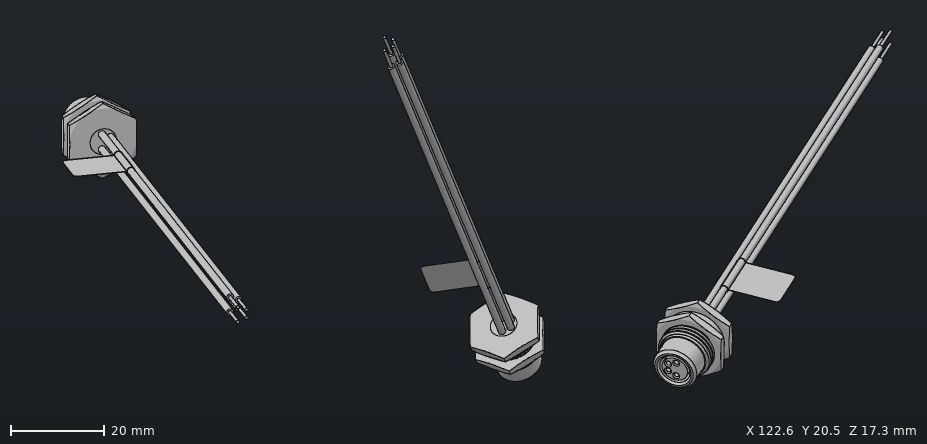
import cadquery as cq
import math

snout_end = 5.1
thread_end = 11.4
flange_start = 13.0
hex_thickness = 2.0
flange_end = flange_start + hex_thickness
nut_start = 8.2
strip_length = 6.1
total_length = 122.6

snout_diameter = 10.0
snout_chamfer = 0.6
socket_mouth_diameter = 8.0
socket_diameter = 7.0
socket_depth = 4.9
thread_diameter = 12.0
thread_pitch = 1.0
thread_depth = 0.5
thread_groove_width = 0.9
thread_cutter_overrun = 0.1
thread_lead_in = 0.7
hex_across_flats = 15.0
hex_chamfer_length = 0.4

ring_section = 1.5
neck_diameter = 10.3

insert_diameter = 5.9
insert_recess = 0.5
contact_hole_diameter = 1.0
contact_mouth_diameter = 1.6
contact_hole_depth = 3.7
lead_places = [(-0.31, 1.7), (1.6, 0.92), (1.6, -0.92), (-0.31, -1.7)]
lead_diameter = 1.6
conductor_diameter = 0.76

label_start = 27.8
label_width = 10.0
label_thickness = 0.1
total_width = 20.5
label_end_y = hex_across_flats / 2 - total_width
label_corner_radius = 1.0


def plane_at(x, y=0.0, z=0.0):
    """Plane facing +X, whose local axes are the global Y and Z."""
    return cq.Workplane(cq.Plane(origin=(x, y, z), xDir=(0, 1, 0), normal=(1, 0, 0)))


def cylinder(start, end, diameter, place=(0.0, 0.0)):
    return plane_at(start, *place).circle(diameter / 2).extrude(end - start)


def revolved(points):
    """Turn an outline of (X, radius) points around the X axis."""
    return cq.Workplane("XY").polyline(points).close().revolve(360, (0, 0, 0), (1, 0, 0))


def chamfered_hexagon(start):
    """Hexagon with corners up and down, its corners turned off to a cone at both faces."""
    corner_diameter = hex_across_flats / math.cos(math.radians(30))
    flat_radius = hex_across_flats / 2
    corner_radius = corner_diameter / 2
    end = start + hex_thickness
    hexagon = plane_at(start).polygon(6, corner_diameter).extrude(hex_thickness)
    hexagon = hexagon.rotate((0, 0, 0), (1, 0, 0), 30)
    envelope = revolved([
        (start, 0),
        (start, flat_radius),
        (start + hex_chamfer_length, corner_radius),
        (end - hex_chamfer_length, corner_radius),
        (end, flat_radius),
        (end, 0),
    ])
    return hexagon.intersect(envelope)


def thread_groove():
    """Helical V groove that starts ahead of the thread and runs out past its end."""
    start = snout_end - thread_pitch
    outside = thread_diameter / 2 + thread_cutter_overrun
    root = thread_diameter / 2 - thread_depth
    length = thread_end + thread_pitch / 2 - start
    helix = cq.Wire.makeHelix(thread_pitch, length, root)
    profile = (
        cq.Workplane("XZ")
        .polyline([
            (root, 0),
            (outside, -thread_groove_width / 2),
            (outside, thread_groove_width / 2),
        ])
        .close()
    )
    groove = profile.sweep(cq.Workplane(helix), isFrenet=True)
    return groove.rotate((0, 0, 0), (0, 1, 0), 90).translate((start, 0, 0))


def socket():
    """Round front opening with a 45 degree countersink at its mouth."""
    mouth_radius = socket_mouth_diameter / 2
    bore_radius = socket_diameter / 2
    return revolved([
        (0, 0),
        (0, mouth_radius),
        (mouth_radius - bore_radius, bore_radius),
        (socket_depth, bore_radius),
        (socket_depth, 0),
    ])


def threaded_barrel():
    """Threaded cylinder behind the snout, with a 45 degree lead-in at its front."""
    thread_radius = thread_diameter / 2
    barrel = cylinder(snout_end, thread_end, thread_diameter).cut(thread_groove())
    lead_in = revolved([
        (snout_end, thread_radius - thread_lead_in),
        (snout_end, thread_radius),
        (snout_end + thread_lead_in, thread_radius),
    ])
    return barrel.cut(lead_in)


def make_housing():
    snout_radius = snout_diameter / 2
    snout = revolved([
        (0, 0),
        (0, snout_radius - snout_chamfer),
        (snout_chamfer, snout_radius),
        (snout_end, snout_radius),
        (snout_end, 0),
    ])
    body = (
        snout
        .union(threaded_barrel())
        .union(cylinder(thread_end, flange_start, neck_diameter))
        .union(chamfered_hexagon(flange_start))
    )
    body = body.cut(socket())
    return body.cut(cylinder(0, flange_end, insert_diameter))


def make_nut():
    nut_end = nut_start + hex_thickness
    return chamfered_hexagon(nut_start).cut(cylinder(nut_start, nut_end, thread_diameter))


def make_sealing_ring():
    ring_radius = (neck_diameter + ring_section) / 2
    center_x = flange_start - ring_section / 2
    section = cq.Workplane("XY").center(center_x, ring_radius).circle(ring_section / 2)
    return section.revolve(360, (-center_x, -ring_radius, 0), (1.2 - center_x, -ring_radius, 0))


def contact_hole(place):
    """Blind hole with a 45 degree countersink, opening at the front of the insert."""
    mouth_radius = contact_mouth_diameter / 2
    hole_radius = contact_hole_diameter / 2
    hole = revolved([
        (0, 0),
        (0, mouth_radius),
        (mouth_radius - hole_radius, hole_radius),
        (contact_hole_depth, hole_radius),
        (contact_hole_depth, 0),
    ])
    return hole.translate((insert_recess, *place))


def make_insert_with_leads():
    strip_start = total_length - strip_length
    insert = cylinder(insert_recess, flange_end, insert_diameter)
    for place in lead_places:
        insert = insert.cut(contact_hole(place))
        insert = insert.union(cylinder(flange_end, strip_start, lead_diameter, place))
        insert = insert.union(cylinder(strip_start, total_length, conductor_diameter, place))
    return insert


def make_label():
    lead_y, lead_z = lead_places[0]
    label_end = label_start + label_width
    tag = (
        cq.Workplane("XY", origin=(0, 0, lead_z - label_thickness / 2))
        .moveTo(label_start, lead_y)
        .lineTo(label_end, lead_y)
        .lineTo(label_end, label_end_y)
        .lineTo(label_start, label_end_y)
        .close()
        .extrude(label_thickness)
        .edges("|Z and <Y")
        .fillet(label_corner_radius)
    )
    wrap = cylinder(label_start, label_end, lead_diameter + 2 * label_thickness, lead_places[0])
    return wrap.union(tag).cut(cylinder(label_start, label_end, lead_diameter, lead_places[0]))


housing = make_housing()
nut = make_nut()
sealing_ring = make_sealing_ring()
insert_with_leads = make_insert_with_leads()
label = make_label()

result = cq.Compound.makeCompound([
    housing.solids().val(),
    nut.solids().val(),
    sealing_ring.solids().val(),
    insert_with_leads.solids().val(),
    label.solids().val(),
])